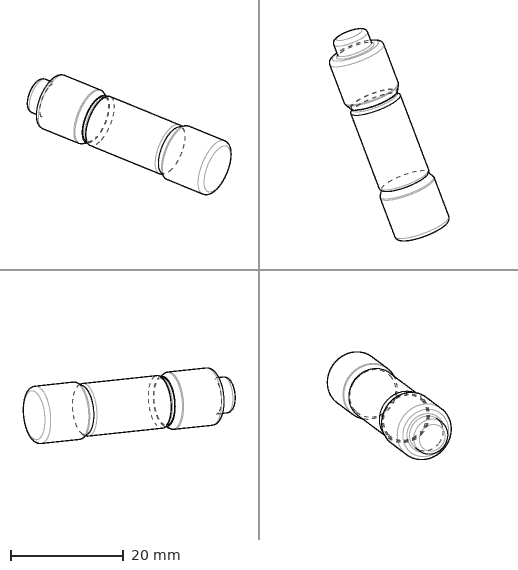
import cadquery as cq
import math

total_length = 38.28
cap_radius = 5.13
cap_edge_radius = 0.75

button_radius = 3.2
button_edge_radius = 0.75
button_root_radius = 0.35
front_cap_start = 3.15
front_cap_end = 12.7
front_taper_length = 1.22
front_taper_angle = 28.0

barrel_radius = 4.7
barrel_edge_radius = 0.45
neck_radius = barrel_radius - barrel_edge_radius
barrel_shoulder = 13.6
rear_cap_start = 28.67

rear_taper_length = 1.22
rear_taper_angle = 31.0

taper_round = 0.45


def arc_offset(radius):
    """Inset of a quarter round's midpoint from the corner of its bounding square."""
    return radius * (1 - math.sqrt(0.5))


def taper_end_radius(length, angle):
    """Radius at the small end of a cap's taper."""
    return cap_radius - length * math.tan(math.radians(angle))


def revolve_about_x(profile):
    return profile.close().revolve(360, (0, 0, 0), (1, 0, 0))


def round_circle(body, x, radius, size):
    """Round the circular edge at the given axial position and radius."""
    tolerance = 0.02
    edge = cq.selectors.BoxSelector(
        (x - tolerance, -radius - tolerance, -radius - tolerance),
        (x + tolerance, radius + tolerance, radius + tolerance),
        boundingbox=True,
    )
    outer = cq.selectors.RadiusNthSelector(-1)
    return body.edges(edge).edges("%CIRCLE").edges(outer).fillet(size)


def make_front_cap():
    taper_start = front_cap_end - front_taper_length
    body = revolve_about_x(
        cq.Workplane("XY")
        .lineTo(0, button_radius)
        .lineTo(front_cap_start, button_radius)
        .lineTo(front_cap_start, cap_radius)
        .lineTo(taper_start, cap_radius)
        .lineTo(front_cap_end, taper_end_radius(front_taper_length, front_taper_angle))
        .lineTo(front_cap_end, 0)
    )
    body = round_circle(body, 0, button_radius, button_edge_radius)
    body = round_circle(body, front_cap_start, button_radius, button_root_radius)
    body = round_circle(body, front_cap_start, cap_radius, cap_edge_radius)
    return round_circle(body, taper_start, cap_radius, taper_round)


def make_barrel():
    """Solid barrel: a hollow round up to the front shoulder, a full round at the rear."""
    bend = arc_offset(barrel_edge_radius)
    return revolve_about_x(
        cq.Workplane("XY")
        .moveTo(front_cap_end, 0)
        .lineTo(front_cap_end, neck_radius)
        .lineTo(barrel_shoulder - barrel_edge_radius, neck_radius)
        .threePointArc(
            (barrel_shoulder - bend, neck_radius + bend),
            (barrel_shoulder, barrel_radius),
        )
        .lineTo(rear_cap_start - barrel_edge_radius, barrel_radius)
        .threePointArc(
            (rear_cap_start - bend, barrel_radius - bend),
            (rear_cap_start, neck_radius),
        )
        .lineTo(rear_cap_start, 0)
    )


def make_rear_cap():
    taper_end = rear_cap_start + rear_taper_length
    body = revolve_about_x(
        cq.Workplane("XY")
        .moveTo(rear_cap_start, 0)
        .lineTo(rear_cap_start, taper_end_radius(rear_taper_length, rear_taper_angle))
        .lineTo(taper_end, cap_radius)
        .lineTo(total_length, cap_radius)
        .lineTo(total_length, 0)
    )
    body = round_circle(body, total_length, cap_radius, cap_edge_radius)
    return round_circle(body, taper_end, cap_radius, taper_round)


front_cap = make_front_cap()
barrel = make_barrel()
rear_cap = make_rear_cap()

result = cq.Compound.makeCompound([front_cap.val(), barrel.val(), rear_cap.val()])